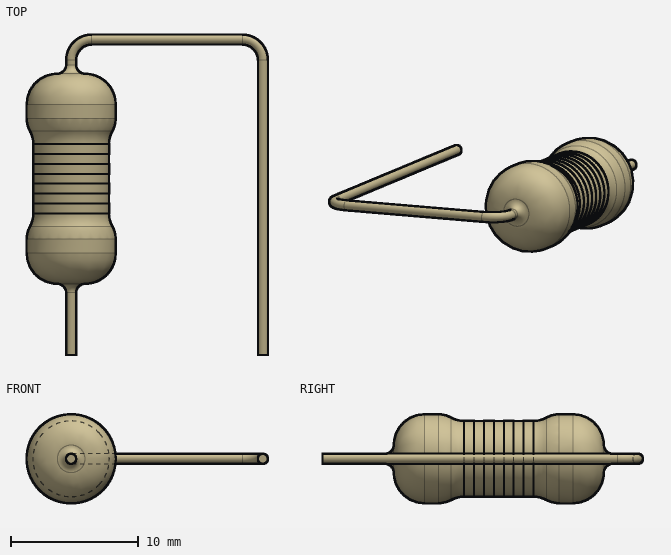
import cadquery as cq
import math

total_length = 25.1
lead_diameter = 0.8
lead_radius = lead_diameter / 2
lead_pitch = 15.0
bend_radius = 1.6

body_center = 13.8
body_length = 16.47
cap_radius = 7.0 / 2
waist_radius = 5.95 / 2
cap_straight = 1.08
shoulder_length = 2.0
collar_fillet = 0.68
waist_overlap = 0.13

band_radius = 5.97 / 2
band_count = 4

cap_round = cap_radius - lead_radius - collar_fillet
half_body = body_length / 2
cap_inner = half_body - cap_round - cap_straight
half_waist = cap_inner - shoulder_length
collar_end = half_body + collar_fillet
diagonal = math.sqrt(0.5)


def make_end_cap():
    """Shoulder, domed cap and lead collar, placed for a body centred on Y = 0."""
    cap_root = half_waist - waist_overlap
    shoulder_mid = ((cap_radius + waist_radius) / 2, cap_inner - shoulder_length / 2)
    cap_arc_mid = (
        cap_radius - cap_round * (1 - diagonal),
        half_body - cap_round * (1 - diagonal),
    )
    collar_arc_mid = (
        lead_radius + collar_fillet * (1 - diagonal),
        collar_end - collar_fillet * diagonal,
    )
    profile = (
        cq.Workplane("XY")
        .moveTo(0, cap_root)
        .lineTo(waist_radius, cap_root)
        .lineTo(waist_radius, half_waist)
        .tangentArcPoint(shoulder_mid, relative=False)
        .tangentArcPoint((cap_radius, cap_inner), relative=False)
        .lineTo(cap_radius, half_body - cap_round)
        .threePointArc(cap_arc_mid, (cap_radius - cap_round, half_body))
        .threePointArc(collar_arc_mid, (lead_radius, collar_end))
        .lineTo(0, collar_end)
        .close()
    )
    return profile.revolve(360, (0, 0, 0), (0, 1, 0))


def make_body():
    waist = cq.Workplane("XZ").circle(waist_radius).extrude(half_waist, both=True)
    upper_cap = make_end_cap()
    lower_cap = upper_cap.mirror("XZ")
    body = waist.union(upper_cap).union(lower_cap).translate((0, body_center, 0))

    band_width = 2 * half_waist / (2 * band_count - 1)
    for index in range(band_count):
        band_start = body_center - half_waist + 2 * index * band_width
        band = (
            cq.Workplane("XZ", origin=(0, band_start, 0))
            .circle(band_radius)
            .extrude(-band_width)
        )
        body = body.union(band)
    return body


def make_straight_lead():
    return cq.Workplane("XZ").circle(lead_radius).extrude(-body_center)


def make_folded_lead():
    crossing = total_length - lead_radius
    bend_start = crossing - bend_radius
    bend_inset = bend_radius * (1 - diagonal)
    path = (
        cq.Workplane("XY")
        .moveTo(0, body_center)
        .lineTo(0, bend_start)
        .threePointArc((bend_inset, crossing - bend_inset), (bend_radius, crossing))
        .lineTo(lead_pitch - bend_radius, crossing)
        .threePointArc(
            (lead_pitch - bend_inset, crossing - bend_inset),
            (lead_pitch, bend_start),
        )
        .lineTo(lead_pitch, 0)
    )
    section = cq.Workplane("XZ", origin=(0, body_center, 0)).circle(lead_radius)
    return section.sweep(path)


result = make_body().union(make_straight_lead()).union(make_folded_lead())